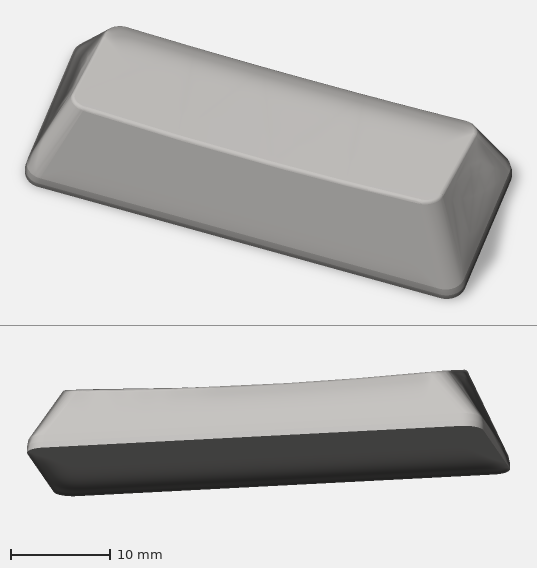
import cadquery as cq
import math


length = 46.75
width = 18.2
skirt_height = 0.6
skirt_corner_radius = 1.95

shoulder_top_z = 1.35
shoulder_inset = 0.15
shoulder_back_inset = 0.05

side_inset = 3.75
top_corner_radius = 1.85
top_front_y = -5.15
top_front_z = 10.05
top_back_y = 8.65
top_back_z = 6.08

dish_depth = 0.45
dish_rim_trim = 0.05
top_edge_radius = 0.37

top_length = length - 2 * side_inset
top_run = top_back_y - top_front_y
top_drop = top_front_z - top_back_z
top_width = math.hypot(top_run, top_drop)

top_plane = cq.Plane(
    origin=(0, (top_front_y + top_back_y) / 2, (top_front_z + top_back_z) / 2),
    xDir=(1, 0, 0),
    normal=(0, top_drop, top_run),
)
skirt_plane = cq.Plane(origin=(0, 0, skirt_height))
shoulder_plane = cq.Plane(origin=(0, (shoulder_inset - shoulder_back_inset) / 2, shoulder_top_z))


def rounded_rectangle(plane, size_x, size_y, corner_radius):
    """Rounded rectangle centred on the origin of the given plane."""
    outline = cq.Sketch().rect(size_x, size_y).vertices().fillet(corner_radius)
    return outline.moved(cq.Location(plane))


def make_blank():
    """Skirt, shoulder and walls, up to the undished top."""
    base_outline = rounded_rectangle(cq.Plane.XY(), length, width, skirt_corner_radius)
    skirt_outline = rounded_rectangle(skirt_plane, length, width, skirt_corner_radius)
    shoulder_outline = rounded_rectangle(
        shoulder_plane,
        length - 2 * shoulder_inset,
        width - shoulder_inset - shoulder_back_inset,
        skirt_corner_radius,
    )
    top_outline = rounded_rectangle(top_plane, top_length, top_width, top_corner_radius)
    sections = (base_outline, skirt_outline, shoulder_outline, top_outline)
    return cq.Workplane("XY").placeSketch(*sections).loft(ruled=True)


def make_dish_cutter():
    """Cylinder along the slope, sinking dish_depth below its rim at mid-length."""
    half_chord = top_length / 2
    dish_radius = (half_chord**2 + dish_depth**2) / (2 * dish_depth)
    centre_height = dish_radius - dish_depth - dish_rim_trim
    profile_plane = cq.Plane(
        origin=top_plane.toWorldCoords((0, 0, centre_height)),
        xDir=(1, 0, 0),
        normal=top_plane.yDir,
    )
    return cq.Workplane(profile_plane).circle(dish_radius).extrude(width, both=True)


dished_body = make_blank().cut(make_dish_cutter())
dished_face = dished_body.faces(cq.selectors.NearestToPointSelector(top_plane.origin.toTuple()))
result = dished_face.edges().fillet(top_edge_radius)